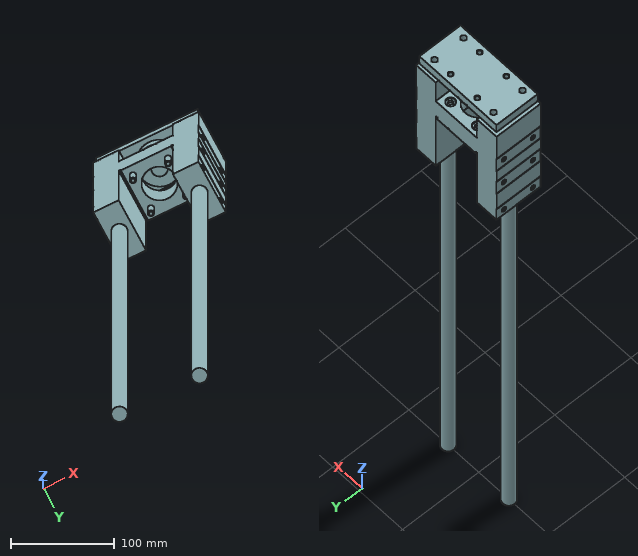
import cadquery as cq
import math

HOUSING_X = 115.0
HOUSING_Y = 58.0
HOUSING_BOTTOM = 514.0
HOUSING_TOP = 654.5
GAP_X = 59.0
BRIDGE_BOTTOM = 595.0
BRIDGE_TOP = 623.0
BRIDGE_CENTER_BORE = 35.0

RELIEF_WIDTH = 2.0
RELIEF_DEPTH = 2.0

THREAD_DIAMETER = 6.0
THREAD_CORE_DIAMETER = 4.9
DRILL_POINT_ANGLE = 118

HOLE_SPACING_Y = 38.0

GROOVE_CENTERS_Z = (606.5, 568.0, 522.0)
GROOVE_WIDTH = 20.0
GROOVE_DEPTH = 0.35
SIDE_HOLE_DEPTH = 10.0

TOTAL_HEIGHT = 670.0
PLATE_X = 110.5
PLATE_Y = 54.0
PLATE_THICKNESS = 12.0
PLATE_HOLE_DEPTH = 9.0
PLATE_BOTTOM = TOTAL_HEIGHT - PLATE_THICKNESS
OUTER_HOLE_SPACING_X = 84.5
COUPLING_DIAMETER = 44.0
COUPLING_HEIGHT = 11.5
STUD_DIAMETER = 16.0
STUD_LENGTH = 10.0
ROD_DIAMETER = 16.0
ROD_SPACING = 87.0

SCREW_SPACING_X = 38.0
SCREW_DIAMETER = THREAD_DIAMETER
SCREW_HEAD_DIAMETER = 10.0
SCREW_HEAD_HEIGHT = 6.0
SCREW_TIP = 580.0
SCREW_TIP_CHAMFER = 1.0
SCREW_SOCKET_SIDES = 6
SCREW_SOCKET_ACROSS_CORNERS = 5.75
SCREW_SOCKET_DEPTH = 3.5
CLEARANCE_HOLE_DIAMETER = 6.6
COUNTERBORE_DIAMETER = 11.0
COUNTERBORE_DEPTH = 7.0
SCREW_SHOULDER = BRIDGE_TOP - COUNTERBORE_DEPTH

CENTER = (0, 0)


def rectangle_points(spacing_x, spacing_y):
    return [(sx * spacing_x / 2, sy * spacing_y / 2) for sx in (-1, 1) for sy in (-1, 1)]


SCREW_POINTS = rectangle_points(SCREW_SPACING_X, HOLE_SPACING_Y)
ROD_POINTS = [(-ROD_SPACING / 2, 0), (ROD_SPACING / 2, 0)]


def box(size_x, size_y, bottom, top):
    return cq.Workplane("XY", origin=(0, 0, bottom)).rect(size_x, size_y).extrude(top - bottom)


def cylinders(points, diameter, bottom, top):
    return (
        cq.Workplane("XY", origin=(0, 0, bottom))
        .pushPoints(points)
        .circle(diameter / 2)
        .extrude(top - bottom)
    )


def threaded_hole(mouth, direction, depth):
    """Core hole of the given depth, with a 45-degree chamfer at its mouth and a drill point at its end."""
    core_radius = THREAD_CORE_DIAMETER / 2
    mouth_radius = THREAD_DIAMETER / 2
    point_length = core_radius / math.tan(math.radians(DRILL_POINT_ANGLE / 2))
    core = cq.Solid.makeCylinder(core_radius, depth, mouth, direction)
    chamfer = cq.Solid.makeCone(mouth_radius, core_radius, mouth_radius - core_radius, mouth, direction)
    point = cq.Solid.makeCone(core_radius, 0, point_length, mouth + direction * depth, direction)
    return cq.Workplane(core).union(cq.Workplane(chamfer)).union(cq.Workplane(point))


def side_mount(center_z, side):
    """Groove and two holes to cut from the outer side at -X (side = -1) or +X (side = 1)."""
    face_x = side * HOUSING_X / 2
    mouth_x = face_x - side * GROOVE_DEPTH
    cutter = cq.Workplane("XY", origin=(face_x, 0, center_z)).box(2 * GROOVE_DEPTH, HOUSING_Y, GROOVE_WIDTH)
    for y in (-HOLE_SPACING_Y / 2, HOLE_SPACING_Y / 2):
        mouth = cq.Vector(mouth_x, y, center_z)
        cutter = cutter.union(threaded_hole(mouth, cq.Vector(-side, 0, 0), SIDE_HOLE_DEPTH))
    return cutter


def bridge_reliefs():
    """Grooves to cut upward into the bridge, next to both legs."""
    groove_top = BRIDGE_BOTTOM + RELIEF_DEPTH
    pad = box(GAP_X - 2 * RELIEF_WIDTH, HOUSING_Y, BRIDGE_BOTTOM, groove_top)
    return box(GAP_X, HOUSING_Y, BRIDGE_BOTTOM, groove_top).cut(pad)


def screw_holes():
    """Clearance holes through the bridge, counterbored from above."""
    holes = cylinders(SCREW_POINTS, CLEARANCE_HOLE_DIAMETER, BRIDGE_BOTTOM, BRIDGE_TOP)
    return holes.union(cylinders(SCREW_POINTS, COUNTERBORE_DIAMETER, SCREW_SHOULDER, BRIDGE_TOP))


def make_housing():
    housing = box(HOUSING_X, HOUSING_Y, HOUSING_BOTTOM, HOUSING_TOP)
    housing = housing.cut(box(GAP_X, HOUSING_Y, BRIDGE_TOP, HOUSING_TOP))
    housing = housing.cut(box(GAP_X, HOUSING_Y, HOUSING_BOTTOM, BRIDGE_BOTTOM))
    housing = housing.cut(bridge_reliefs())
    housing = housing.cut(cylinders([CENTER], BRIDGE_CENTER_BORE, BRIDGE_BOTTOM, BRIDGE_TOP))
    housing = housing.cut(screw_holes())
    housing = housing.cut(cylinders(ROD_POINTS, ROD_DIAMETER, HOUSING_BOTTOM, HOUSING_TOP))
    for center_z in GROOVE_CENTERS_Z:
        for side in (-1, 1):
            housing = housing.cut(side_mount(center_z, side))
    return housing


def make_slide():
    """End plate with its coupling, stud and guide rods."""
    slide = box(PLATE_X, PLATE_Y, PLATE_BOTTOM, TOTAL_HEIGHT)
    outer_points = rectangle_points(OUTER_HOLE_SPACING_X, HOLE_SPACING_Y)
    slide = slide.cut(cylinders(outer_points, CLEARANCE_HOLE_DIAMETER, PLATE_BOTTOM, TOTAL_HEIGHT))
    for x, y in SCREW_POINTS:
        mouth = cq.Vector(x, y, TOTAL_HEIGHT)
        slide = slide.cut(threaded_hole(mouth, cq.Vector(0, 0, -1), PLATE_HOLE_DEPTH))
    coupling_bottom = PLATE_BOTTOM - COUPLING_HEIGHT
    stud_bottom = coupling_bottom - STUD_LENGTH
    slide = slide.union(cylinders([CENTER], COUPLING_DIAMETER, coupling_bottom, PLATE_BOTTOM))
    slide = slide.union(cylinders([CENTER], STUD_DIAMETER, stud_bottom, coupling_bottom))
    return slide.union(cylinders(ROD_POINTS, ROD_DIAMETER, 0, PLATE_BOTTOM))


def make_screw(point):
    """Socket-head screw whose head sits on the floor of its counterbore."""
    shank = cylinders([point], SCREW_DIAMETER, SCREW_TIP, SCREW_SHOULDER)
    shank = shank.faces("<Z").chamfer(SCREW_TIP_CHAMFER)
    head_top = SCREW_SHOULDER + SCREW_HEAD_HEIGHT
    head = cylinders([point], SCREW_HEAD_DIAMETER, SCREW_SHOULDER, head_top)
    socket = (
        cq.Workplane("XY", origin=(*point, head_top))
        .polygon(SCREW_SOCKET_SIDES, SCREW_SOCKET_ACROSS_CORNERS)
        .extrude(-SCREW_SOCKET_DEPTH)
    )
    return shank.union(head.cut(socket))


housing = make_housing()
slide = make_slide()
screws = [make_screw(point) for point in SCREW_POINTS]
result = cq.Compound.makeCompound([housing.val(), slide.val(), *[screw.val() for screw in screws]])